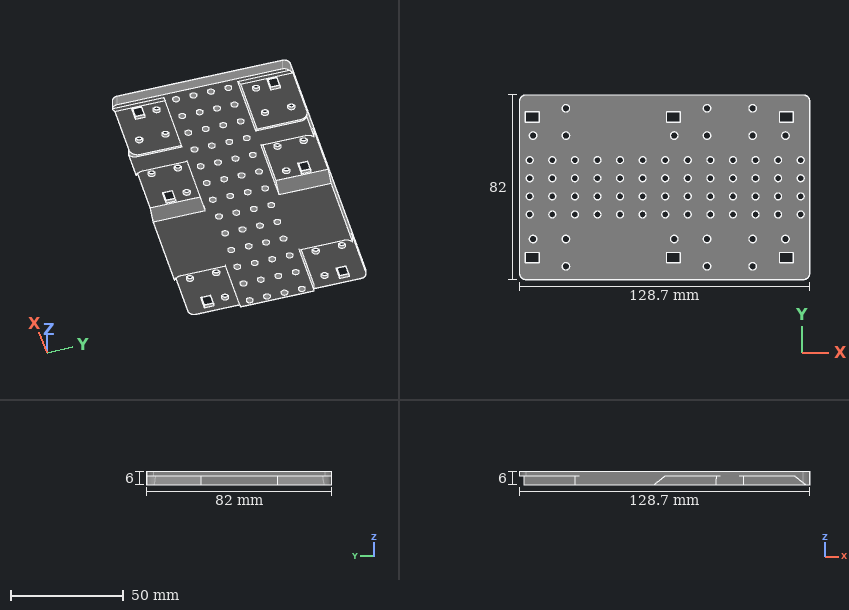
import cadquery as cq
import math

LENGTH = 128.7
WIDTH = 82.0
HEIGHT = 6.0
CORNER_RADIUS = 3.0

POCKET_DEPTH = 4.0
CORE_WIDTH = 34.0
POCKET_LENGTH = 22.8
RAMP_RUN = 5.0
SIDE_LEAN = 30.0
HOOK_RADIUS = 4.0
HOOK_WIDTH_TOP = HOOK_RADIUS
HOOK_WIDTH_BOTTOM = 3.3
EDGE_OVERRUN = 1.3

FIRST_BAY_X = -62.4
BAY_PITCH = 62.5
MIRRORED_BAY_X = 57.6
BAYS = [(FIRST_BAY_X, 1), (FIRST_BAY_X + BAY_PITCH, 1), (MIRRORED_BAY_X, -1)]

WINDOW_LENGTH = 6.0
WINDOW_WIDTH = 4.5
WINDOW_OFFSET = 3.7
WINDOW_Y = 31.1
SCREW_DIAMETER = 3.2
SCREW_NEAR_OFFSET = 4.1
SCREW_FAR_OFFSET = 18.7
SCREW_INNER_Y = 22.9
SCREW_OUTER_Y = 35.0

GRID_DIAMETER = 3.0
GRID_COLUMNS = 13
GRID_ROWS = 4
GRID_LENGTH = 120.0
GRID_WIDTH = 24.0
GRID_SHIFT_X = 0.3


def sagitta(half_chord):
    """Depth along X of the hook curve across the given width."""
    return HOOK_RADIUS - math.sqrt(HOOK_RADIUS**2 - half_chord**2)


def pocket_section(z, ramp_x, side_x, hook_width):
    """Plan outline of one pocket at height z, with its ramp towards -X."""
    edge_y = -WIDTH / 2
    hook_y = edge_y + hook_width
    lip_x = side_x - sagitta(hook_width)
    half_angle = math.asin(hook_width / HOOK_RADIUS) / 2
    mid_x = side_x - HOOK_RADIUS * (1 - math.cos(half_angle))
    mid_y = hook_y - HOOK_RADIUS * math.sin(half_angle)
    return (
        cq.Workplane("XY", origin=(0, 0, z))
        .moveTo(ramp_x, -CORE_WIDTH / 2)
        .lineTo(side_x, -CORE_WIDTH / 2)
        .lineTo(side_x, hook_y)
        .threePointArc((mid_x, mid_y), (lip_x, edge_y))
        .lineTo(lip_x, edge_y - EDGE_OVERRUN)
        .lineTo(ramp_x, edge_y - EDGE_OVERRUN)
        .close()
        .val()
    )


def make_pocket():
    """Cutter for the -Y pocket of a bay whose ramp meets the top plate at X = 0."""
    side_x = POCKET_LENGTH + sagitta(HOOK_WIDTH_TOP)
    side_run = POCKET_DEPTH * math.tan(math.radians(SIDE_LEAN))
    bottom = pocket_section(0, -RAMP_RUN, side_x - side_run, HOOK_WIDTH_BOTTOM)
    top = pocket_section(POCKET_DEPTH, 0, side_x, HOOK_WIDTH_TOP)
    return cq.Workplane(obj=cq.Solid.makeLoft([bottom, top], True))


def make_slab():
    """Rounded slab, stepped under its -X edge back to the first ramp."""
    slab = cq.Workplane("XY").box(LENGTH, WIDTH, HEIGHT, centered=(True, True, False))
    slab = slab.edges("|Z").fillet(CORNER_RADIUS)
    step_length = FIRST_BAY_X + LENGTH / 2
    step = cq.Workplane("XY").box(step_length, WIDTH, POCKET_DEPTH, centered=False)
    return slab.cut(step.translate((-LENGTH / 2, -WIDTH / 2, 0)))


def cut_pockets(body):
    """Cut a pocket at both long edges of every bay."""
    pocket = make_pocket()
    for bay_x, direction in BAYS:
        turned = pocket if direction > 0 else pocket.mirror("YZ")
        cutter = turned.translate((bay_x, 0, 0))
        body = body.cut(cutter).cut(cutter.mirror("XZ"))
    return body


def cut_bay_openings(body):
    """Cut the windows and screw holes in the plate above the pockets."""
    windows = []
    screws = []
    for bay_x, direction in BAYS:
        near_x = bay_x + direction * SCREW_NEAR_OFFSET
        far_x = bay_x + direction * SCREW_FAR_OFFSET
        for side in (-1, 1):
            windows.append((bay_x + direction * WINDOW_OFFSET, side * WINDOW_Y))
            screws.append((near_x, side * SCREW_INNER_Y))
            screws.append((far_x, side * SCREW_INNER_Y))
            screws.append((far_x, side * SCREW_OUTER_Y))
    plane = cq.Workplane("XY")
    body = body.cut(plane.pushPoints(windows).rect(WINDOW_LENGTH, WINDOW_WIDTH).extrude(HEIGHT))
    return body.cut(plane.pushPoints(screws).circle(SCREW_DIAMETER / 2).extrude(HEIGHT))


def cut_grid(body):
    """Cut the grid of through holes in the core."""
    pitch_x = GRID_LENGTH / (GRID_COLUMNS - 1)
    pitch_y = GRID_WIDTH / (GRID_ROWS - 1)
    holes = (
        cq.Workplane("XY")
        .center(GRID_SHIFT_X, 0)
        .rarray(pitch_x, pitch_y, GRID_COLUMNS, GRID_ROWS)
        .circle(GRID_DIAMETER / 2)
        .extrude(HEIGHT)
    )
    return body.cut(holes)


result = cut_grid(cut_bay_openings(cut_pockets(make_slab())))